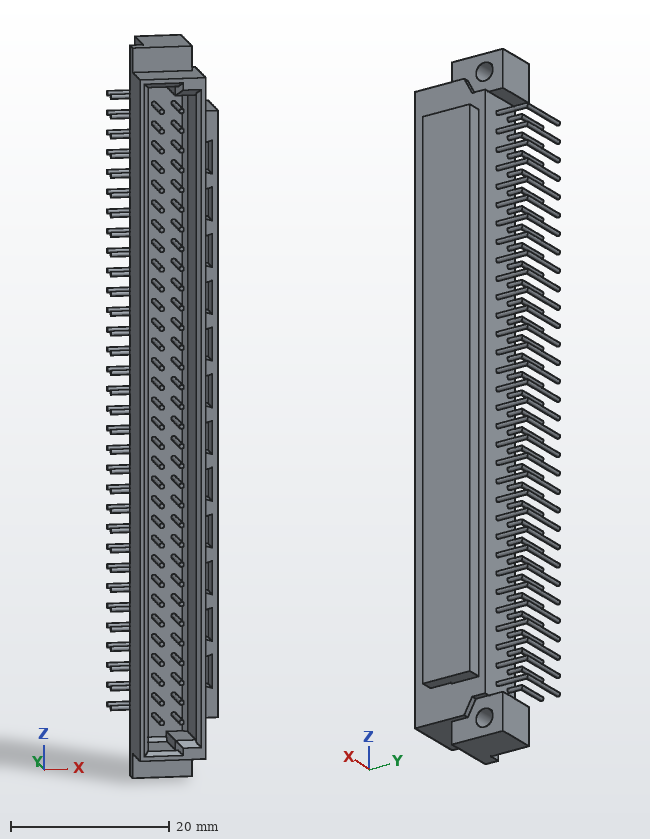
import cadquery as cq

total_length = 94.0
total_width = 11.9
total_depth = 15.5
pin_end_x = -1.4
flange_width = 7.6
flange_front_y = 5.1
flange_rear_y = 7.05

shroud_width = 8.5
shroud_length = 87.7
rim = 0.6
cavity_depth = 7.1
wall_bevel = 0.6
key_left_x = 4.7
key_height = 0.9
key_bevel = 0.8

rear_left_x = 1.7
middle_rear_y = 10.7
ear_rear_y = 12.9
ear_gap = 83.2
ramp_front_y = 7.5
ramp_rear_y = 8.7
hole_diameter = 2.5
hole_spacing = 89.0
hole_y = 10.1

rail_outer_x = total_width + pin_end_x
rail_length = 78.1
rail_front_y = 2.6
rail_rear_y = 9.8
slot_floor_y = 5.6
slit_width = 0.3
pocket_count = 12
pocket_pitch = 6.0
pocket_outer_x = 9.8
pocket_inner_length = 3.6
pocket_outer_length = 4.3

pin_diameter = 0.6
pin_pitch = 2.5
pin_rows = 32
pin_tip_y = 1.6
first_column_x = 3.1
column_count = 2
last_tail_y = total_depth - pin_diameter / 2


def box(x0, x1, y0, y1, length):
    """Block centred on Z = 0."""
    block = cq.Workplane("XY").box(x1 - x0, y1 - y0, length, centered=(False, False, True))
    return block.translate((x0, y0, 0))


def prism(points, y0, y1):
    """Outline in X and Z, extruded along +Y from y0 to y1."""
    return cq.Workplane("XZ", origin=(0, y0, 0)).polyline(points).close().extrude(y0 - y1)


def housing():
    """Shroud, flange, ramped middle block and the two ears."""
    shroud = box(0, shroud_width, 0, flange_rear_y, shroud_length)
    flange = box(0, flange_width, flange_front_y, flange_rear_y, total_length)
    ears = box(rear_left_x, flange_width, flange_rear_y, ear_rear_y, total_length)
    ears = ears.cut(box(rear_left_x, flange_width, middle_rear_y, ear_rear_y, ear_gap))
    half = shroud_length / 2
    half_gap = ear_gap / 2
    middle = (
        cq.Workplane("YZ", origin=(rear_left_x, 0, 0))
        .polyline([
            (flange_front_y, -half), (ramp_front_y, -half), (ramp_rear_y, -half_gap), (middle_rear_y, -half_gap),
            (middle_rear_y, half_gap), (ramp_rear_y, half_gap), (ramp_front_y, half), (flange_front_y, half),
        ])
        .close()
        .extrude(shroud_width - rear_left_x)
    )
    holes = (
        cq.Workplane("YZ")
        .pushPoints([(hole_y, -hole_spacing / 2), (hole_y, hole_spacing / 2)])
        .circle(hole_diameter / 2)
        .extrude(shroud_width)
    )
    return shroud.union(flange).union(ears).union(middle).cut(holes)


def frustum(y0, y1, inset0, inset1):
    """Rectangular opening, inset from the rim by inset0 at y0 and by inset1 at y1."""
    width = shroud_width - 2 * rim
    length = shroud_length - 2 * rim
    return (
        cq.Workplane("XZ", origin=(shroud_width / 2, y0, 0))
        .rect(width - 2 * inset0, length - 2 * inset0)
        .workplane(offset=y0 - y1)
        .rect(width - 2 * inset1, length - 2 * inset1)
        .loft(ruled=True)
    )


def cavity():
    """Cavity with a bevelled mouth and a bevel where the walls meet the floor."""
    mouth = frustum(0, wall_bevel, 0, wall_bevel)
    walls = frustum(wall_bevel, cavity_depth - wall_bevel, wall_bevel, wall_bevel)
    floor = frustum(cavity_depth - wall_bevel, cavity_depth, wall_bevel, 2 * wall_bevel)
    return mouth.union(walls).union(floor)


def keys():
    """Blocks filling the two cavity corners on the +X side, bevelled towards the mouth.

    Their outer sides end halfway through the rim, inside the shroud wall.
    """
    inner_z = shroud_length / 2 - rim - key_height - key_bevel
    outer_z = (shroud_length - rim) / 2
    right = shroud_width - rim / 2
    block = (
        box(key_left_x, right, 0, cavity_depth, outer_z - inner_z)
        .translate((0, 0, (inner_z + outer_z) / 2))
        .edges("(<X and <Y) or (<Y and <Z)")
        .chamfer(key_bevel)
    )
    return block.union(block.mirror("XY"))


def clip_rail():
    """Rail beside the shroud, slit from it at the front and notched by a row of flared pockets."""
    rail = box(shroud_width, rail_outer_x, rail_front_y, rail_rear_y, rail_length)
    rail = rail.cut(box(shroud_width, shroud_width + slit_width, rail_front_y, slot_floor_y, rail_length))
    inner = pocket_inner_length / 2
    outer = pocket_outer_length / 2
    outline = [(shroud_width, -inner), (pocket_outer_x, -outer), (pocket_outer_x, outer), (shroud_width, inner)]
    pocket = prism(outline, rail_front_y, slot_floor_y)
    for i in range(pocket_count):
        rail = rail.cut(pocket.translate((0, 0, (i - (pocket_count - 1) / 2) * pocket_pitch)))
    return rail


def bent_pin(x, tail_y):
    """Pin running back along Y, then turning sharply toward -X."""
    path = cq.Workplane("XY").moveTo(x, pin_tip_y).lineTo(x, tail_y).lineTo(pin_end_x, tail_y)
    profile = cq.Workplane("XZ", origin=(x, pin_tip_y, 0)).circle(pin_diameter / 2)
    return profile.sweep(path, transition="right")


def pins():
    """Every pin of both columns as one group of shapes."""
    shapes = []
    for column in range(column_count):
        x = first_column_x + column * pin_pitch
        tail_y = last_tail_y - (column_count - 1 - column) * pin_pitch
        pin = bent_pin(x, tail_y).val()
        for row in range(pin_rows):
            shapes.append(pin.translate(cq.Vector(0, 0, (row - (pin_rows - 1) / 2) * pin_pitch)))
    return shapes


body = housing().cut(cavity().cut(keys())).union(clip_rail())
result = cq.Workplane("XY").newObject([body.val().fuse(*pins())])